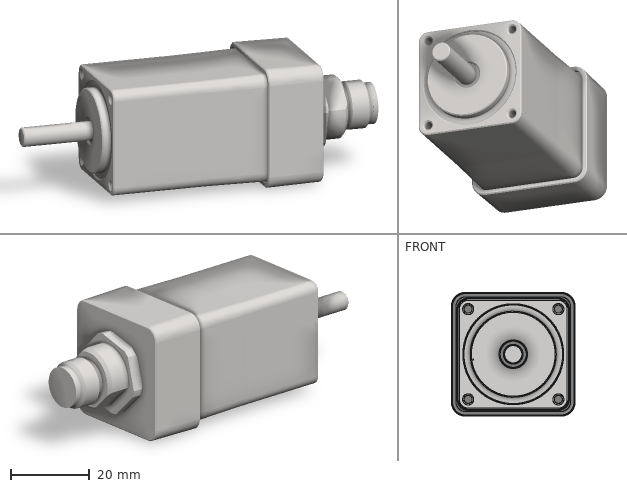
import cadquery as cq
import math

SHAFT_REACH = 20.0
TOTAL_LENGTH = 94.1
SPLIT_Y = 24.6
CAP_FRONT_Y = 41.1
CAP_REAR_Y = 56.0
NUT_REAR_Y = 59.0
GRIP_REAR_Y = 65.2
COLLAR_FRONT_Y = 66.9
COLLAR_REAR_Y = 71.4
CONNECTOR_REAR_Y = TOTAL_LENGTH - SHAFT_REACH

MOTOR_WIDTH = 28.0
MOTOR_CORNER_RADIUS = 2.5
EDGE_CHAMFER = 0.3
BOSS_DIAMETER = 21.9
BOSS_HEIGHT = 2.0
FACE_GROOVE_DIAMETER = 25.7
FACE_GROOVE_DEPTH = 0.4
SHAFT_RECESS_DIAMETER = 7.2
SHAFT_RECESS_DEPTH = 0.6
MOUNT_HOLE_PITCH = 22.95
MOUNT_HOLE_DIAMETER = 2.1
MOUNT_SINK_DIAMETER = 2.8
MOUNT_SINK_ANGLE = 90
MOUNT_HOLE_DEPTH = 4.0

REAR_HOUSING_WIDTH = 28.6
REAR_HOUSING_RADIUS = MOTOR_CORNER_RADIUS + (REAR_HOUSING_WIDTH - MOTOR_WIDTH) / 2

CAP_FRONT_WIDTH = 31.5
CAP_REAR_WIDTH = 31
CAP_REAR_CORNER_RADIUS = 3.4
CAP_RECESS_DEPTH = 0.9
CAP_RECESS_GAP = 0.3
CAP_RECESS_CORNER_RADIUS = 2.4

SHAFT_DIAMETER = 5.0
SHAFT_CHAMFER = 0.3

NUT_SIDES = 6
NUT_FLATS = 19.1
NUT_CORNER_DIAMETER = 21.1
NUT_CHAMFER = 0.3
NUT_TURN = 15

STEM_DIAMETER = 13.2
GRIP_DIAMETER = 16.4
GRIP_CHAMFER = 0.8
GRIP_FLATS = 13.5
GRIP_TURN = 45
NECK_DIAMETER = 10.6
COLLAR_DIAMETER = 12.4
COLLAR_FRONT_BEVEL = 0.6
COLLAR_REAR_BEVEL = 0.8
TIP_DIAMETER = 10.7
TIP_LENGTH = 1.2


def plane_at(y):
    """Workplane facing -Y, with local x along X and local y along Z."""
    return cq.Workplane("XZ", origin=(0, y, 0))


def cylinder(diameter, front_y, rear_y):
    return plane_at(rear_y).circle(diameter / 2).extrude(rear_y - front_y)


def chamfered_bore(mouth_diameter, front_y, rear_y):
    """Bore to cut from a face, chamfered from the mouth diameter at its front end."""
    bore = cylinder(mouth_diameter - 2 * EDGE_CHAMFER, front_y, rear_y)
    mouth_radius = mouth_diameter / 2
    mouth = cq.Solid.makeCone(
        mouth_radius,
        mouth_radius - EDGE_CHAMFER,
        EDGE_CHAMFER,
        pnt=cq.Vector(0, front_y, 0),
        dir=cq.Vector(0, 1, 0),
    )
    return bore.union(cq.Workplane(mouth))


def square_block(rear_width, front_width, rear_radius, front_y, rear_y):
    """Square block with rounded corners whose width changes evenly from rear to front."""
    length = rear_y - front_y
    draft = math.degrees(math.atan2((rear_width - front_width) / 2, length))
    outline = cq.Sketch().rect(rear_width, rear_width).vertices().fillet(rear_radius)
    return plane_at(rear_y).placeSketch(outline).extrude(length, taper=draft)


def make_front_housing():
    """Motor front with a round boss in a shallow groove, a shaft bore and four mounting holes."""
    block = square_block(MOTOR_WIDTH, MOTOR_WIDTH, MOTOR_CORNER_RADIUS, 0, SPLIT_Y)
    block = block.faces("<Y").chamfer(EDGE_CHAMFER)
    groove = chamfered_bore(FACE_GROOVE_DIAMETER, 0, FACE_GROOVE_DEPTH)
    boss = cylinder(BOSS_DIAMETER, -BOSS_HEIGHT, FACE_GROOVE_DEPTH).faces("<Y").chamfer(EDGE_CHAMFER)
    recess = chamfered_bore(SHAFT_RECESS_DIAMETER, -BOSS_HEIGHT, SHAFT_RECESS_DEPTH - BOSS_HEIGHT)
    bore = cylinder(SHAFT_DIAMETER, -BOSS_HEIGHT, SPLIT_Y)
    housing = block.cut(groove).union(boss).cut(recess).cut(bore)
    return (
        housing.copyWorkplane(plane_at(0))
        .rect(MOUNT_HOLE_PITCH, MOUNT_HOLE_PITCH, forConstruction=True)
        .vertices()
        .cskHole(MOUNT_HOLE_DIAMETER, MOUNT_SINK_DIAMETER, MOUNT_SINK_ANGLE, depth=MOUNT_HOLE_DEPTH)
    )


def make_rear_housing():
    """Drafted square block whose rear end sits in the recess of the end cap."""
    return square_block(
        REAR_HOUSING_WIDTH, MOTOR_WIDTH, REAR_HOUSING_RADIUS, SPLIT_Y, CAP_FRONT_Y + CAP_RECESS_DEPTH
    )


def make_end_cap():
    """Drafted cap with a front recess that leaves a narrow gap around the rear housing."""
    cap = square_block(CAP_REAR_WIDTH, CAP_FRONT_WIDTH, CAP_REAR_CORNER_RADIUS, CAP_FRONT_Y, CAP_REAR_Y)
    recess_width = REAR_HOUSING_WIDTH + 2 * CAP_RECESS_GAP
    recess_floor_y = CAP_FRONT_Y + CAP_RECESS_DEPTH
    recess = square_block(recess_width, recess_width, CAP_RECESS_CORNER_RADIUS, CAP_FRONT_Y, recess_floor_y)
    return cap.faces("<Y or >Y").chamfer(EDGE_CHAMFER).cut(recess)


def make_shaft():
    return cylinder(SHAFT_DIAMETER, -SHAFT_REACH, SPLIT_Y).faces("<Y").chamfer(SHAFT_CHAMFER)


def make_lock_nut():
    """Hexagon nut with its corners turned down to a cylinder and chamfered towards the cap."""
    length = NUT_REAR_Y - CAP_REAR_Y
    hexagon = plane_at(NUT_REAR_Y).polygon(NUT_SIDES, NUT_FLATS, circumscribed=True).extrude(length)
    hexagon = hexagon.rotate((0, 0, 0), (0, 1, 0), NUT_TURN)
    turned = cylinder(NUT_CORNER_DIAMETER, CAP_REAR_Y, NUT_REAR_Y).faces("<Y").chamfer(NUT_CHAMFER)
    return hexagon.intersect(turned).cut(cylinder(STEM_DIAMETER, CAP_REAR_Y, NUT_REAR_Y))


def make_connector():
    """Stem through the nut, flatted grip, and a collar on the plug end."""
    stem = cylinder(STEM_DIAMETER, CAP_REAR_Y, NUT_REAR_Y)
    grip = cylinder(GRIP_DIAMETER, NUT_REAR_Y, GRIP_REAR_Y).faces(">Y").chamfer(GRIP_CHAMFER)
    grip_length = GRIP_REAR_Y - NUT_REAR_Y
    flats = plane_at(GRIP_REAR_Y).rect(GRIP_DIAMETER, GRIP_FLATS).extrude(grip_length)
    grip = grip.intersect(flats.rotate((0, 0, 0), (0, 1, 0), GRIP_TURN))
    plug = (
        cq.Workplane("XY")
        .moveTo(0, GRIP_REAR_Y)
        .lineTo(NECK_DIAMETER / 2, GRIP_REAR_Y)
        .lineTo(NECK_DIAMETER / 2, COLLAR_FRONT_Y - COLLAR_FRONT_BEVEL)
        .lineTo(COLLAR_DIAMETER / 2, COLLAR_FRONT_Y)
        .lineTo(COLLAR_DIAMETER / 2, COLLAR_REAR_Y)
        .lineTo(NECK_DIAMETER / 2, COLLAR_REAR_Y + COLLAR_REAR_BEVEL)
        .lineTo(NECK_DIAMETER / 2, CONNECTOR_REAR_Y - TIP_LENGTH)
        .lineTo(TIP_DIAMETER / 2, CONNECTOR_REAR_Y - TIP_LENGTH)
        .lineTo(TIP_DIAMETER / 2, CONNECTOR_REAR_Y)
        .lineTo(0, CONNECTOR_REAR_Y)
        .close()
        .revolve(360, (0, 0, 0), (0, 1, 0))
    )
    return stem.union(grip).union(plug)


front_housing = make_front_housing()
rear_housing = make_rear_housing()
end_cap = make_end_cap()
shaft = make_shaft()
lock_nut = make_lock_nut()
connector = make_connector()

result = cq.Compound.makeCompound(
    [
        front_housing.val(),
        rear_housing.val(),
        end_cap.val(),
        shaft.val(),
        lock_nut.val(),
        connector.val(),
    ]
)